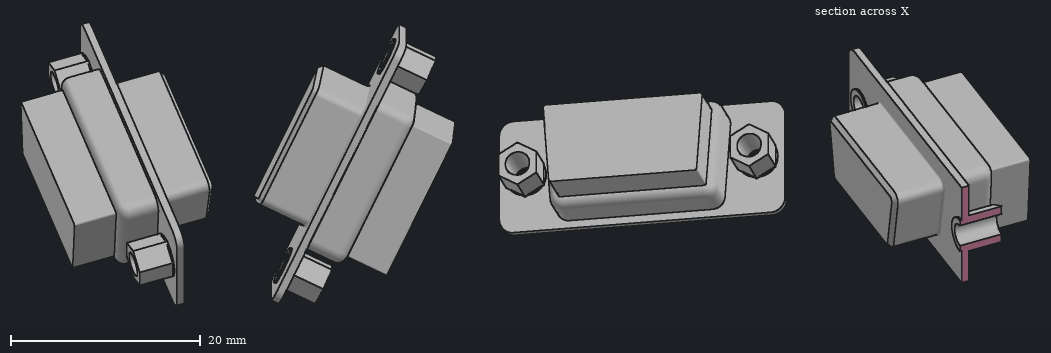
import cadquery as cq
import math

plate_width = 30.8
plate_height = 12.55
plate_thickness = 0.85
plate_corner_radius = 1.5

body_offset = -0.108

shell_mean_width = 18.73
shell_height = 10.85
shell_side_angle = 4.2
shell_corner_radius = 1.35
shell_depth = 4.35
shell_rim_radius = 1.05

block_inset = 1.08
block_front = 9.0

rear_mean_width = 15.35
rear_height = 7.9
rear_side_angle = 10.0
rear_corner_radius = 1.0
rear_depth = 5.85
rear_chamfer = 0.5
rear_root_radius = 0.28

screw_pitch = 25.0
hex_sides = 6
hex_across_flats = 4.1
hex_length = 3.82
screw_hole_diameter = 2.6
washer_diameter = 4.4
washer_offset = -0.03
washer_thickness = 0.15
rear_collar_diameter = 4.07
rear_collar_thickness = 0.2

selection_margin = 0.03


def plane_at(y):
    """Sketch plane facing -Y at the given Y, with local x along +X and local y along +Z."""
    return cq.Workplane("XZ", origin=(0, y, 0))


def d_prism(mean_width, height, side_angle, corner_radius, y_front, y_back):
    """Prism with a D-shaped section, wider at the top, rounded at its four corners."""
    lean = height / 2 * math.tan(math.radians(side_angle))
    top = mean_width / 2 + lean
    bottom = mean_width / 2 - lean
    outline = [
        (-top, height / 2),
        (top, height / 2),
        (bottom, -height / 2),
        (-bottom, -height / 2),
    ]
    return (
        plane_at(y_back)
        .center(body_offset, 0)
        .polyline(outline)
        .close()
        .extrude(y_back - y_front)
        .edges("|Y")
        .fillet(corner_radius)
    )


def make_plate():
    return (
        plane_at(plate_thickness)
        .rect(plate_width, plate_height)
        .extrude(plate_thickness)
        .edges("|Y")
        .fillet(plate_corner_radius)
    )


def make_shell():
    shell = d_prism(
        shell_mean_width, shell_height, shell_side_angle, shell_corner_radius,
        -shell_depth, plate_thickness,
    )
    return shell.faces("<Y").edges().fillet(shell_rim_radius)


def make_block():
    side_inset = block_inset / math.cos(math.radians(shell_side_angle))
    return d_prism(
        shell_mean_width - 2 * side_inset, shell_height - 2 * block_inset, shell_side_angle,
        shell_corner_radius - block_inset, -block_front, 0,
    )


def make_rear_body():
    rear = d_prism(
        rear_mean_width, rear_height, rear_side_angle, rear_corner_radius,
        0, plate_thickness + rear_depth,
    )
    return rear.faces(">Y").edges().chamfer(rear_chamfer)


def disc(x, diameter, y_front, y_back):
    """Round disc along Y, centred at the given X and at mid height."""
    return plane_at(y_back).center(x, 0).circle(diameter / 2).extrude(y_back - y_front)


def make_screw(x):
    """Hexagonal jack screw with two corners pointing up and down."""
    across_corners = hex_across_flats / math.cos(math.pi / hex_sides)
    return (
        plane_at(0)
        .center(x, 0)
        .transformed(rotate=(0, 0, 180 / hex_sides))
        .polygon(hex_sides, across_corners)
        .extrude(hex_length)
    )


def make_plate_with_rear_body():
    """Plate and rear body joined by a root fillet around the foot of the body."""
    joined = make_plate().union(make_rear_body())
    half_x = screw_pitch / 2
    half_z = plate_height / 2 - plate_corner_radius
    root_edges = cq.selectors.BoxSelector(
        (-half_x, plate_thickness - selection_margin, -half_z),
        (half_x, plate_thickness + selection_margin, half_z),
    )
    return joined.edges(root_edges).fillet(rear_root_radius)


result = make_plate_with_rear_body().union(make_shell()).union(make_block())

collar_back = plate_thickness + rear_collar_thickness
for side in (-1, 1):
    screw_x = body_offset + side * screw_pitch / 2
    washer_x = washer_offset + side * screw_pitch / 2
    result = (
        result.union(make_screw(screw_x))
        .union(disc(washer_x, washer_diameter, -washer_thickness, 0))
        .union(disc(screw_x, rear_collar_diameter, plate_thickness, collar_back))
        .cut(disc(screw_x, screw_hole_diameter, -hex_length, collar_back))
    )